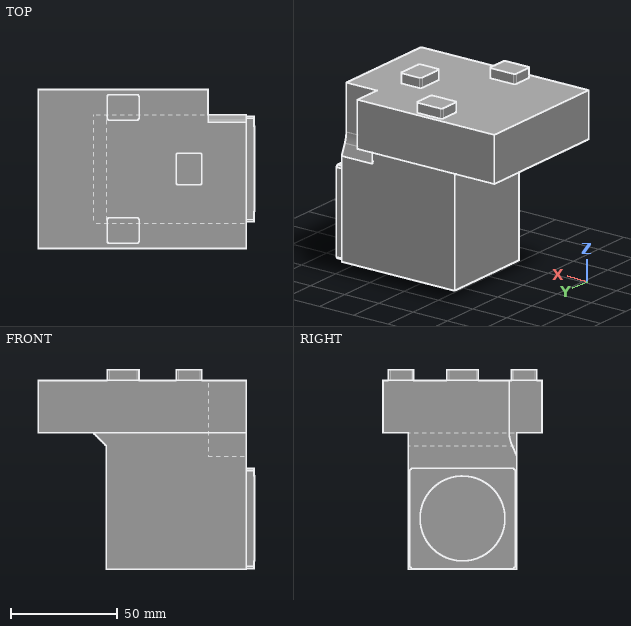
import cadquery as cq
import math

slab_length = 98.0
slab_width = 75.0
slab_bottom = 64.3
slab_thickness = 24.7
slab_top = slab_bottom + slab_thickness
notch_length = 18.1
notch_width = 15.5
center_y = slab_width / 2

block_left = 32.0
block_width = 51.2
bevel = 6.1

flare_radius = 13.3
flare_angle = math.radians(23.5)

pad_long = 15.0
pad_short = 12.0
pad_height = 5.1
pad_corner_radius = 1.0
outer_pad_x = 40.0
outer_pad_offset = 29.0
middle_pad_x = 71.0

cover_thickness = 3.7
cover_width = 49.8
cover_bottom = 0.4
cover_height = 47.1
cover_corner = 1.0
disc_diameter = 40.0
disc_thickness = 0.3


def make_slab():
    slab = cq.Workplane("XY").box(slab_length, slab_width, slab_thickness, centered=False)
    notch = (
        cq.Workplane("XY")
        .box(notch_length, notch_width, slab_thickness, centered=False)
        .translate((slab_length - notch_length, slab_width - notch_width, 0))
    )
    return slab.cut(notch).translate((0, 0, slab_bottom))


def make_block():
    """Block with a sloped lip where its left face meets the slab."""
    profile = [
        (block_left, 0),
        (slab_length, 0),
        (slab_length, slab_bottom),
        (block_left - bevel, slab_bottom),
        (block_left, slab_bottom - bevel),
    ]
    block = cq.Workplane("XZ").polyline(profile).close().extrude(block_width / 2, both=True)
    return block.translate((0, center_y, 0))


def make_flare_cut():
    """Recess that continues the notch wall down, then curves and slopes out to the block side."""
    wall_y = slab_width - notch_width
    side_y = center_y + block_width / 2

    def arc_point(angle):
        return (
            wall_y + flare_radius * (1 - math.cos(angle)),
            slab_bottom - flare_radius * math.sin(angle),
        )

    arc_end = arc_point(flare_angle)
    slope_end_z = arc_end[1] - (side_y - arc_end[0]) / math.tan(flare_angle)
    return (
        cq.Workplane("YZ", origin=(slab_length - notch_length, 0, 0))
        .moveTo(wall_y, slab_bottom)
        .threePointArc(arc_point(flare_angle / 2), arc_end)
        .lineTo(side_y, slope_end_z)
        .lineTo(side_y, slab_bottom)
        .close()
        .extrude(notch_length)
    )


def make_pad(x, y, length, width):
    return (
        cq.Workplane("XY", origin=(x, y, slab_top))
        .rect(length, width)
        .extrude(pad_height)
        .edges("|Z")
        .fillet(pad_corner_radius)
    )


def make_cover():
    cover_center = (slab_length, center_y, cover_bottom + cover_height / 2)
    cover = (
        cq.Workplane("YZ", origin=cover_center)
        .rect(cover_width, cover_height)
        .extrude(cover_thickness)
        .edges("|X")
        .chamfer(cover_corner)
    )
    disc = (
        cq.Workplane("YZ", origin=cover_center)
        .circle(disc_diameter / 2)
        .extrude(cover_thickness + disc_thickness)
    )
    return cover.union(disc)


result = make_slab().union(make_block().cut(make_flare_cut())).union(make_cover())
for side in (-1, 1):
    pad_y = center_y + side * outer_pad_offset
    result = result.union(make_pad(outer_pad_x, pad_y, pad_long, pad_short))
result = result.union(make_pad(middle_pad_x, center_y, pad_short, pad_long))